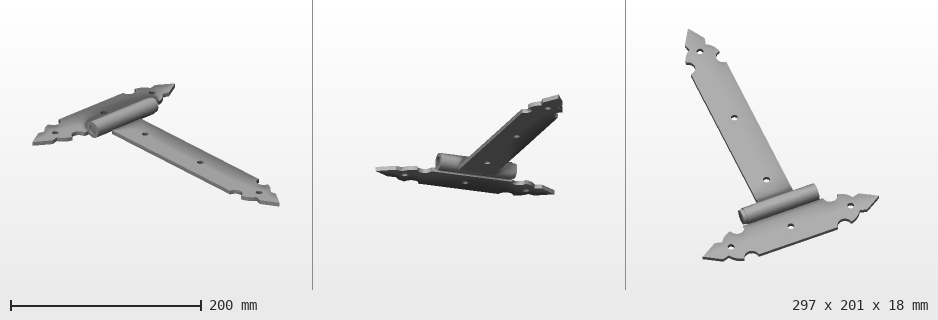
import cadquery as cq

overall_length = 297.0
frame_height = 201.0
leaf_width = 40.5
half_width = leaf_width / 2
thickness = 4.5

barrel_diameter = 18.0
barrel_radius = barrel_diameter / 2
barrel_length = 81.5
edge_to_axis = 7.7
pin_bore = 10.0
pin_diameter = 9.8
pin_head_diameter = 16.0
pin_head_length = 4.2
pin_end_recess = 1.2
pin_end_chamfer = 0.5
axis_x = leaf_width + edge_to_axis
axis_z = barrel_radius
strap_start = axis_x + edge_to_axis

lobe_setback = 18.5
lobe_half_width = 11.3
neck_setback = 26.0
neck_half_width = 9.2
bulge_setback = 39.8
bulge_half_width = 19.0
bulge_mid_setback = 32.5
bulge_mid_half_width = 16.0
scallop_mid_setback = 47.5
scallop_mid_half_width = 12.5
shoulder_setback = 55.2

screw_hole_diameter = 7.0
finial_hole_setback = 32.5
strap_hole_positions = [85.5, 172.2, overall_length - finial_hole_setback]
frame_hole_offset = frame_height / 2 - finial_hole_setback


def add_finial(outline, place):
    """Draw a finial from its first shoulder round the tip to the other one.

    place(setback, offset) gives the XY point at that distance back from the
    tip and that sideways offset from the finial's centre line.
    """
    return (
        outline
        .threePointArc(
            place(scallop_mid_setback, scallop_mid_half_width), place(bulge_setback, bulge_half_width)
        )
        .threePointArc(
            place(bulge_mid_setback, bulge_mid_half_width), place(neck_setback, neck_half_width)
        )
        .lineTo(*place(lobe_setback, lobe_half_width))
        .lineTo(*place(0, 0))
        .lineTo(*place(lobe_setback, -lobe_half_width))
        .lineTo(*place(neck_setback, -neck_half_width))
        .threePointArc(
            place(bulge_mid_setback, -bulge_mid_half_width), place(bulge_setback, -bulge_half_width)
        )
        .threePointArc(
            place(scallop_mid_setback, -scallop_mid_half_width), place(shoulder_setback, -half_width)
        )
    )


def upper_frame_point(setback, offset):
    return (half_width + offset, frame_height / 2 - setback)


def lower_frame_point(setback, offset):
    return (half_width - offset, setback - frame_height / 2)


def strap_point(setback, offset):
    return (overall_length - setback, offset)


def cylinder_on_axis(diameter, y_start, y_end):
    """Cylinder along the pin axis between two Y positions."""
    return (
        cq.Workplane("XZ", origin=(axis_x, y_start, axis_z))
        .circle(diameter / 2)
        .extrude(y_start - y_end)
    )


def cut_screw_holes(leaf, positions):
    holes = cq.Workplane("XY").pushPoints(positions).circle(screw_hole_diameter / 2).extrude(thickness)
    return leaf.cut(holes)


def make_frame():
    """Fixed leaf with a finial at each end and the two outer knuckles."""
    outline = cq.Workplane("XY").moveTo(*upper_frame_point(shoulder_setback, half_width))
    outline = add_finial(outline, upper_frame_point)
    outline = outline.lineTo(*lower_frame_point(shoulder_setback, half_width))
    outline = add_finial(outline, lower_frame_point)
    leaf = outline.close().extrude(thickness)
    leaf = cut_screw_holes(leaf, [(half_width, y) for y in (-frame_hole_offset, 0, frame_hole_offset)])
    barrel = cylinder_on_axis(barrel_diameter, -barrel_length / 2, barrel_length / 2)
    middle_gap = cylinder_on_axis(barrel_diameter, -half_width, half_width)
    bore = cylinder_on_axis(pin_bore, -barrel_length / 2, barrel_length / 2)
    return leaf.union(barrel).cut(middle_gap).cut(bore)


def make_strap():
    """Long leaf with a finial at its free end and the middle knuckle."""
    outline = (
        cq.Workplane("XY")
        .moveTo(strap_start, half_width)
        .lineTo(*strap_point(shoulder_setback, half_width))
    )
    leaf = add_finial(outline, strap_point).lineTo(strap_start, -half_width).close().extrude(thickness)
    leaf = cut_screw_holes(leaf, [(x, 0) for x in strap_hole_positions])
    knuckle = cylinder_on_axis(barrel_diameter, -half_width, half_width)
    bore = cylinder_on_axis(pin_bore, -half_width, half_width)
    return leaf.union(knuckle).cut(bore)


def make_pin():
    """Headed pin whose chamfered plain end stops just inside the barrel."""
    shank = cylinder_on_axis(pin_diameter, pin_end_recess - barrel_length / 2, barrel_length / 2)
    shank = shank.faces("<Y").chamfer(pin_end_chamfer)
    head = cylinder_on_axis(pin_head_diameter, barrel_length / 2, barrel_length / 2 + pin_head_length)
    return shank.union(head)


frame = make_frame()
strap = make_strap()
pin = make_pin()

result = cq.Compound.makeCompound([frame.val(), strap.val(), pin.val()])